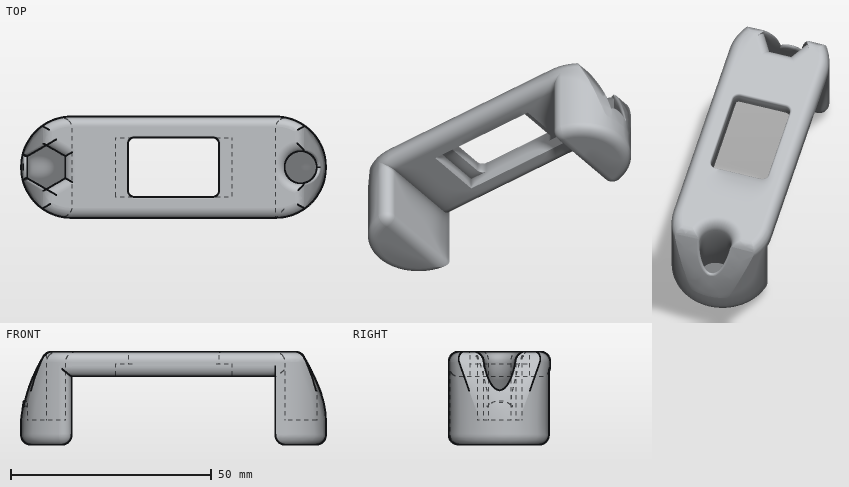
import cadquery as cq
import math

WIDTH = 25.4
HEIGHT = 23.28
END_RADIUS = WIDTH / 2
END_CENTER_X = 25.4
TIP_X = END_CENTER_X + END_RADIUS
PLATE_THICKNESS = 6.2
PLATE_BOTTOM = HEIGHT - PLATE_THICKNESS
EDGE_RADIUS = 2.54
LEG_TOP = HEIGHT - EDGE_RADIUS

SLOPE_TOP_X = 31.75
SLOPE_BOTTOM = 6.2
SLOPE_BOTTOM_HALF_WIDTH = 5.0
SLOPE_TOP_HALF_WIDTH = math.sqrt(END_RADIUS**2 - (SLOPE_TOP_X - END_CENTER_X) ** 2)
SLOPE_TOP_BULGE = 0.005
SLOPE_EXPONENT = 1.75
SLOPE_SECTIONS = 6
SLOPE_OVERHANG = 3.0
CUT_MARGIN = 5.0
BLOCK_MARGIN = 0.5

POCKET_X = SLOPE_TOP_X
POCKET_FLOOR = SLOPE_BOTTOM
POCKET_DEPTH = HEIGHT - POCKET_FLOOR
BOLT_HOLE_RADIUS = 8.03 / 2
HEX_SIDES = 6
HEX_ACROSS_FLATS = 9.525
HEX_CIRCUMRADIUS = HEX_ACROSS_FLATS / 2 / math.cos(math.pi / HEX_SIDES)
LIP_RADIUS = 0.5
SELECTION_MARGIN = 0.01

WINDOW_LENGTH = 22.7
WINDOW_WIDTH = 14.8
WINDOW_CORNER_RADIUS = 3.15 / 2
WINDOW_RIM_RADIUS = 0.5
RECESS_OVERHANG = 3.175
RECESS_LENGTH = WINDOW_LENGTH + 2 * RECESS_OVERHANG
RECESS_HEIGHT = PLATE_THICKNESS / 2


def standing_box(length, width, height, bottom=0):
    """Box centred on the Z axis with its underside at the given height."""
    return cq.Workplane("XY", origin=(0, 0, bottom)).box(length, width, height, centered=(True, True, False))


def to_other_end(shape):
    """Turn a +X end feature round to the -X end."""
    return shape.rotate((0, 0, 0), (0, 0, 1), 180)


def plate():
    stadium = cq.Workplane("XY", origin=(0, 0, PLATE_BOTTOM)).slot2D(2 * TIP_X, WIDTH).extrude(PLATE_THICKNESS)
    return stadium.edges("<Z or >Z").fillet(EDGE_RADIUS)


def leg(rounded_corners):
    """Half-round leg at +X; rounded_corners selects the upright inner corners to round."""
    half_round = (
        cq.Workplane("XY")
        .moveTo(END_CENTER_X, -END_RADIUS)
        .threePointArc((TIP_X, 0), (END_CENTER_X, END_RADIUS))
        .close()
        .extrude(LEG_TOP)
    )
    return half_round.edges(rounded_corners).fillet(EDGE_RADIUS).edges("<Z").fillet(EDGE_RADIUS)


def handle_body():
    plus_x_leg = leg("|Z and >Y")
    minus_x_leg = to_other_end(leg("|Z and <X"))
    return plate().union(plus_x_leg).union(minus_x_leg)


def slope_section(fraction):
    """Level outline of the space beyond the slope; fraction is 0 at its foot and 1 at the top."""
    half_width = SLOPE_BOTTOM_HALF_WIDTH + fraction * (SLOPE_TOP_HALF_WIDTH - SLOPE_BOTTOM_HALF_WIDTH)
    edge_x = END_CENTER_X + math.sqrt(END_RADIUS**2 - half_width**2)
    middle_x = TIP_X - (TIP_X - SLOPE_TOP_X - SLOPE_TOP_BULGE) * fraction**SLOPE_EXPONENT
    bulge = middle_x - edge_x
    arc_radius = (half_width**2 + bulge**2) / (2 * bulge)
    reach_y = half_width + SLOPE_OVERHANG
    reach_x = middle_x - arc_radius + math.sqrt(arc_radius**2 - reach_y**2)
    outer_x = TIP_X + CUT_MARGIN
    section = (
        cq.Workplane("XY", origin=(0, 0, SLOPE_BOTTOM + fraction * (HEIGHT - SLOPE_BOTTOM)))
        .moveTo(reach_x, -reach_y)
        .threePointArc((middle_x, 0), (reach_x, reach_y))
        .lineTo(outer_x, reach_y)
        .lineTo(outer_x, -reach_y)
        .close()
    )
    return section.val()


def sloped_block():
    """Block over the +X half, slightly larger than the handle, ending in the rounded-off slope."""
    sections = [slope_section(i / (SLOPE_SECTIONS - 1)) for i in range(SLOPE_SECTIONS)]
    beyond_slope = cq.Workplane(cq.Solid.makeLoft(sections))
    block = cq.Workplane("XY").box(
        TIP_X + BLOCK_MARGIN, WIDTH + 2 * BLOCK_MARGIN, HEIGHT, centered=(False, True, False)
    )
    top_edge = cq.selectors.NearestToPointSelector((SLOPE_TOP_X, 0, HEIGHT))
    return block.cut(beyond_slope).edges(top_edge).fillet(EDGE_RADIUS)


def round_pocket():
    return cq.Workplane("XY", origin=(POCKET_X, 0, POCKET_FLOOR)).circle(BOLT_HOLE_RADIUS).extrude(POCKET_DEPTH)


def hex_pocket():
    """Hexagon with two of its corners on the line X = POCKET_X."""
    hexagon = cq.Workplane("XY").polygon(HEX_SIDES, 2 * HEX_CIRCUMRADIUS).extrude(POCKET_DEPTH)
    return hexagon.rotate((0, 0, 0), (0, 0, 1), 180 / HEX_SIDES).translate((POCKET_X, 0, POCKET_FLOOR))


def with_open_pocket(block, pocket):
    """Cut the pocket and round the lip where it breaks through the slope."""
    lip = cq.selectors.BoxSelector(
        (SLOPE_TOP_X - SELECTION_MARGIN, -WIDTH / 4, POCKET_FLOOR + LIP_RADIUS),
        (TIP_X, WIDTH / 4, HEIGHT),
        boundingbox=True,
    )
    return block.cut(pocket).edges(lip).fillet(LIP_RADIUS)


def with_rounded_mouth(opening, radius):
    """The opening, flared at the plate top by rounding the edge of its mouth outward."""
    block = standing_box(4 * TIP_X, 2 * WIDTH, HEIGHT)
    pierced = block.cut(opening)
    mouth = pierced.faces(">Z").val().innerWires()[0]
    return block.cut(pierced.newObject(mouth.Edges()).fillet(radius))


def hex_mouth():
    """Flared hexagon, flared only on the three walls away from the slope."""
    reach = WIDTH
    end_x = POCKET_X - reach * math.cos(math.pi / HEX_SIDES)
    end_y = HEX_CIRCUMRADIUS + reach * math.sin(math.pi / HEX_SIDES)
    flared_side = (
        cq.Workplane("XY")
        .moveTo(POCKET_X, HEX_CIRCUMRADIUS)
        .lineTo(end_x, end_y)
        .lineTo(end_x, -end_y)
        .lineTo(POCKET_X, -HEX_CIRCUMRADIUS)
        .close()
        .extrude(HEIGHT)
    )
    return with_rounded_mouth(hex_pocket(), EDGE_RADIUS).intersect(flared_side)


def window():
    opening = standing_box(WINDOW_LENGTH, WINDOW_WIDTH, PLATE_THICKNESS, PLATE_BOTTOM)
    opening = opening.edges("|Z").fillet(WINDOW_CORNER_RADIUS)
    recess = standing_box(RECESS_LENGTH, WINDOW_WIDTH, RECESS_HEIGHT, PLATE_BOTTOM)
    return with_rounded_mouth(opening, WINDOW_RIM_RADIUS).union(recess)


plus_x_end = with_open_pocket(sloped_block(), round_pocket())
minus_x_end = to_other_end(with_open_pocket(sloped_block(), hex_pocket()))

result = handle_body().intersect(plus_x_end.union(minus_x_end))
result = result.cut(with_rounded_mouth(round_pocket(), EDGE_RADIUS))
result = result.cut(to_other_end(hex_mouth()))
result = result.cut(window())